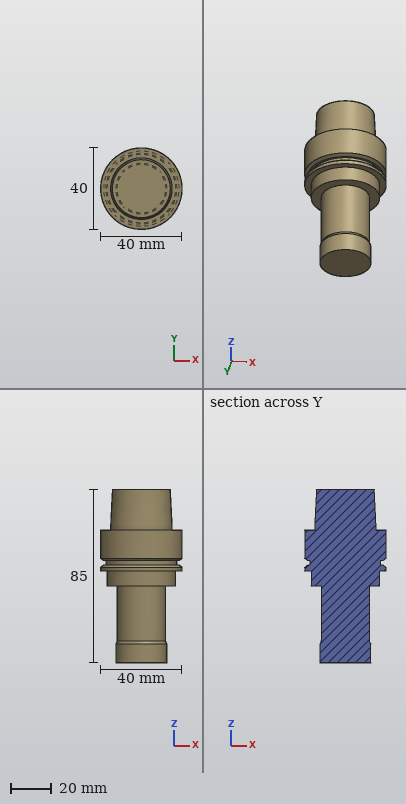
import cadquery as cq

nose_diameter = 25.0
shank_diameter = 23.8
hub_diameter = 33.6
flange_diameter = 40.0
groove_diameter = 34.8
taper_base_diameter = 30.2
taper_top_diameter = 28.4

nose_top = 9.3
nose_chamfer_top = 10.6
hub_bottom = 37.65
flange_bottom = 45.0
lower_rim_top = 46.8
groove_bottom = 48.0
groove_top = 50.1
upper_rim_bottom = 51.2
flange_top = 65.0
taper_bottom = 67.0
total_height = 85.0

flank_inner_diameter = 36.9

profile_corners = [
    (nose_diameter, 0),
    (nose_diameter, nose_top),
    (shank_diameter, nose_chamfer_top),
    (shank_diameter, hub_bottom),
    (hub_diameter, hub_bottom),
    (hub_diameter, flange_bottom),
    (flange_diameter, flange_bottom),
    (flange_diameter, lower_rim_top),
    (flank_inner_diameter, groove_bottom),
    (groove_diameter, groove_bottom),
    (groove_diameter, groove_top),
    (flank_inner_diameter, groove_top),
    (flange_diameter, upper_rim_bottom),
    (flange_diameter, flange_top),
    (taper_base_diameter, flange_top),
    (taper_base_diameter, taper_bottom),
    (taper_top_diameter, total_height),
]

half_section = [(0, 0)]
for diameter, height in profile_corners:
    half_section.append((diameter / 2, height))
half_section.append((0, total_height))

result = (
    cq.Workplane("XZ")
    .polyline(half_section)
    .close()
    .revolve(360, (0, 0, 0), (0, 1, 0))
)